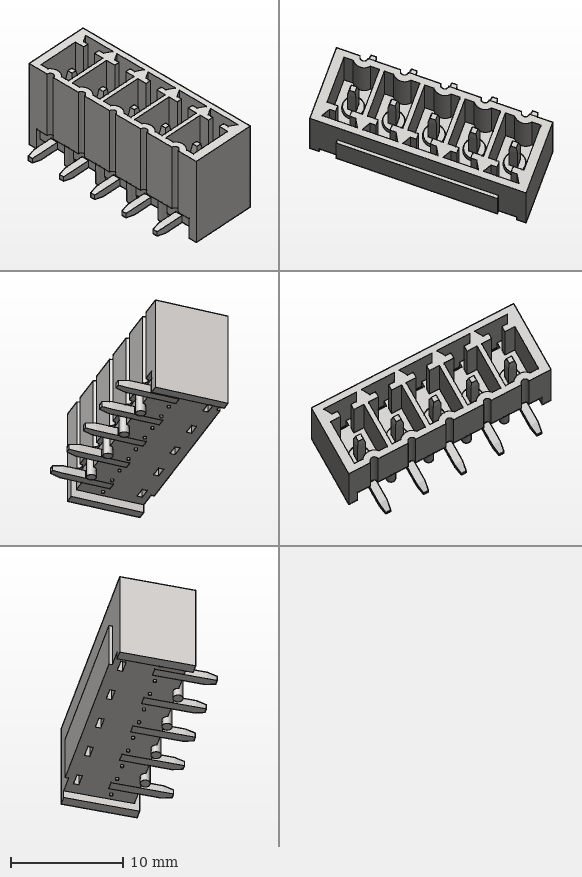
import cadquery as cq


WAYS = 5
LENGTH = 20.45
END_MARGIN = 2.6
PITCH = (LENGTH - 2 * END_MARGIN) / (WAYS - 1)
ROW_LENGTH = PITCH * (WAYS - 1)
PIN_XS = [(i - (WAYS - 1) / 2) * PITCH for i in range(WAYS)]
PILLAR_XS = [x + PITCH / 2 for x in PIN_XS[:-1]]

DEPTH = 7.0
HEIGHT = 9.2
UNDERSIDE_Z = 0.82
FLOOR_Z = 2.23
END_WALL = 0.9
RECESS_DEPTH = 0.5

CAVITY_SHIFT = -0.02
CAVITY_WIDTH = 3.35
CAVITY_FRONT_Y = 0.61
SHOULDER_Y = 5.05
NECK_WIDTH = 1.33
NECK_END_Y = 5.6
KEY_WIDTH = 2.45
CAVITY_BACK_Y = 6.38
BULGE_WIDTH = 1.64
BULGE_CREST_Y = 1.0

GROOVE_DIAMETER = 0.74
WINDOW_WIDTH = 1.19
WINDOW_LENGTH = 0.5
PILLAR_DIAMETER = 0.9
PILLAR_Y = 0.45
BOSS_DIAMETER = 2.08
BOSS_TOP_DIAMETER = 1.92
BOSS_HEIGHT = 0.51
NUB_DIAMETER = 0.3
NUB_HEIGHT = 0.16
NUB_FILLET = 0.1
NUB_OFFSET = 1.05
PLATE_THICKNESS = 0.3
PLATE_TOP_Z = 5.52

PIN_SIZE = 0.8
PIN_TIP_SIZE = 0.51
PIN_TAPER = 0.96
PIN_Y = 2.8
PIN_TOP_Z = 8.18
PIN_REACH = 2.6
PIN_LEG_Z = 1.2


def block(width, y_range, z_range, x=0.0):
    """Box centred on x, spanning the given Y and Z ranges."""
    y0, y1 = y_range
    z0, z1 = z_range
    return cq.Workplane("XY").box(width, y1 - y0, z1 - z0, centered=(True, False, False)).translate((x, y0, z0))


def cylinder(diameter, x, y, z_range):
    """Upright cylinder on the point (x, y)."""
    z0, z1 = z_range
    return cq.Workplane("XY", origin=(x, y, z0)).circle(diameter / 2).extrude(z1 - z0)


def cavity(x):
    """Contact cavity with a keyed back and a bulged front wall."""
    half = CAVITY_WIDTH / 2
    return (
        cq.Workplane("XY", origin=(x, 0, FLOOR_Z))
        .moveTo(-half, CAVITY_FRONT_Y)
        .lineTo(-BULGE_WIDTH / 2, CAVITY_FRONT_Y)
        .threePointArc((0, BULGE_CREST_Y), (BULGE_WIDTH / 2, CAVITY_FRONT_Y))
        .lineTo(half, CAVITY_FRONT_Y)
        .lineTo(half, SHOULDER_Y)
        .lineTo(NECK_WIDTH / 2, SHOULDER_Y)
        .lineTo(NECK_WIDTH / 2, NECK_END_Y)
        .lineTo(KEY_WIDTH / 2, NECK_END_Y)
        .lineTo(half, CAVITY_BACK_Y)
        .lineTo(-half, CAVITY_BACK_Y)
        .lineTo(-KEY_WIDTH / 2, NECK_END_Y)
        .lineTo(-NECK_WIDTH / 2, NECK_END_Y)
        .lineTo(-NECK_WIDTH / 2, SHOULDER_Y)
        .lineTo(-half, SHOULDER_Y)
        .close()
        .extrude(HEIGHT - FLOOR_Z)
    )


def groove(x):
    """Half-round groove down the front face, ending at the recess."""
    return cylinder(GROOVE_DIAMETER, x, 0, (FLOOR_Z, HEIGHT))


def window(x):
    """Rectangular opening through the floor at the back of the cavity."""
    return block(WINDOW_WIDTH, (CAVITY_BACK_Y - WINDOW_LENGTH, CAVITY_BACK_Y), (UNDERSIDE_Z, FLOOR_Z), x)


def boss(x):
    """Tapered round boss on the cavity floor around the pin."""
    base = cq.Workplane("XY", origin=(x, PIN_Y, FLOOR_Z)).circle(BOSS_DIAMETER / 2)
    return base.workplane(offset=BOSS_HEIGHT).circle(BOSS_TOP_DIAMETER / 2).loft(combine=True)


def nub(x):
    """Small rounded stand-off under the floor."""
    peg = cylinder(NUB_DIAMETER, x, PIN_Y, (UNDERSIDE_Z - NUB_HEIGHT, UNDERSIDE_Z))
    return peg.faces("<Z").fillet(NUB_FILLET)


def tapered_tip(base):
    """Square pin tip narrowing along the normal of the base plane."""
    wide = base.rect(PIN_SIZE, PIN_SIZE)
    return wide.workplane(offset=PIN_TAPER).rect(PIN_TIP_SIZE, PIN_TIP_SIZE).loft(combine=True)


def pin(x):
    """L-shaped square pin: upright contact and forward leg, both with tapered tips."""
    half = PIN_SIZE / 2
    post_end_z = PIN_TOP_Z - PIN_TAPER
    leg_end_y = PIN_TAPER - PIN_REACH
    post = block(PIN_SIZE, (PIN_Y - half, PIN_Y + half), (PIN_LEG_Z - half, post_end_z), x)
    leg = block(PIN_SIZE, (leg_end_y, PIN_Y + half), (PIN_LEG_Z - half, PIN_LEG_Z + half), x)
    post_tip = tapered_tip(cq.Workplane("XY", origin=(x, PIN_Y, post_end_z)))
    leg_tip = tapered_tip(cq.Workplane("XZ", origin=(x, leg_end_y, PIN_LEG_Z)))
    return post.union(leg).union(post_tip).union(leg_tip)


pins = [pin(x) for x in PIN_XS]

opening = LENGTH - 2 * END_WALL
housing = block(LENGTH, (0, DEPTH), (0, HEIGHT))
housing = housing.cut(block(opening, (0, DEPTH), (0, UNDERSIDE_Z)))
housing = housing.cut(block(opening, (0, RECESS_DEPTH), (UNDERSIDE_Z, FLOOR_Z)))
housing = housing.union(block(ROW_LENGTH, (DEPTH, DEPTH + PLATE_THICKNESS), (UNDERSIDE_Z, PLATE_TOP_Z)))

for x in PILLAR_XS:
    housing = housing.union(cylinder(PILLAR_DIAMETER, x, PILLAR_Y, (0, FLOOR_Z)))

for x, contact in zip(PIN_XS, pins):
    cavity_x = x + CAVITY_SHIFT
    housing = housing.cut(cavity(cavity_x)).cut(groove(cavity_x)).cut(window(x))
    housing = housing.union(boss(cavity_x))
    for side in (-1, 1):
        housing = housing.union(nub(x + side * NUB_OFFSET))
    housing = housing.cut(contact)

result = cq.Compound.makeCompound([housing.val(), *[contact.val() for contact in pins]])